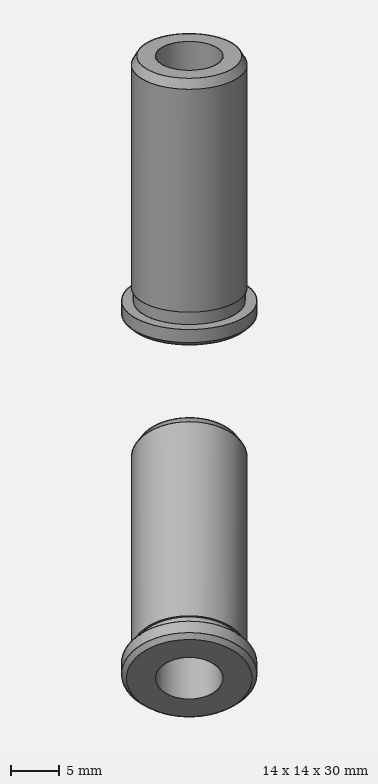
import cadquery as cq
import math

total_height = 30.0
body_diameter = 12.0
bore_diameter = 7.0

flange_diameter = 14.0
flange_height = 2.0
flange_chamfer = 0.5

groove_diameter = 11.6
groove_height = 1.5

lead_height = 1.0
lead_angle = 30.0

body_radius = body_diameter / 2
flange_radius = flange_diameter / 2
groove_radius = groove_diameter / 2
bore_radius = bore_diameter / 2
groove_top = flange_height + groove_height
lead_width = lead_height * math.tan(math.radians(lead_angle))

half_section = (
    cq.Workplane("XZ")
    .moveTo(bore_radius, 0)
    .lineTo(flange_radius - flange_chamfer, 0)
    .lineTo(flange_radius, flange_chamfer)
    .lineTo(flange_radius, flange_height)
    .lineTo(groove_radius, flange_height)
    .lineTo(groove_radius, groove_top)
    .lineTo(body_radius, groove_top)
    .lineTo(body_radius, total_height - lead_height)
    .lineTo(body_radius - lead_width, total_height)
    .lineTo(bore_radius, total_height)
    .close()
)

result = half_section.revolve(360, (0, 0, 0), (0, 1, 0))